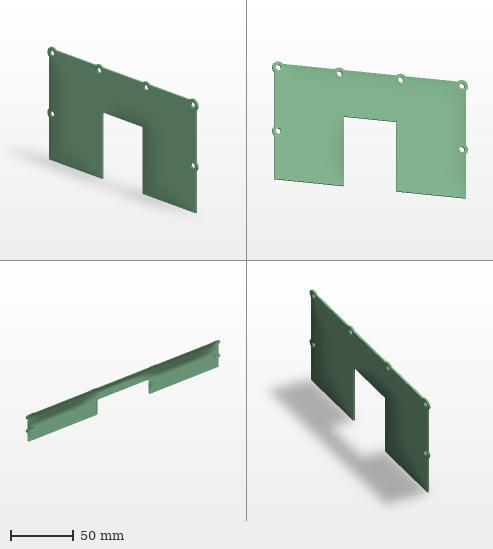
import cadquery as cq

width = 168.8
height = 98.4
thickness = 1.59

ear_radius = 5.0
ear_overhang = 1.7
hole_diameter = 4.5
ears_per_row = 4
ear_pitch = (width - 2 * ear_radius) / (ears_per_row - 1)

notch_width = 45.2
notch_depth = 58.0

plate_width = width - 2 * ear_overhang
plate_height = height - ear_overhang
top_row_z = height - ear_radius
side_row_z = top_row_z - ear_pitch
outer_ear_x = width / 2 - ear_radius

ear_centres = [(-outer_ear_x + i * ear_pitch, top_row_z) for i in range(ears_per_row)]
ear_centres += [(side * outer_ear_x, side_row_z) for side in (-1, 1)]


def slab(bottom_width, slab_height):
    """Full-thickness rectangular block rising from the bottom edge."""
    return (
        cq.Workplane("XZ")
        .center(0, slab_height / 2)
        .rect(bottom_width, slab_height)
        .extrude(thickness / 2, both=True)
    )


def discs(diameter):
    """Full-thickness discs at every ear centre."""
    return (
        cq.Workplane("XZ")
        .pushPoints(ear_centres)
        .circle(diameter / 2)
        .extrude(thickness / 2, both=True)
    )


plate = slab(plate_width, plate_height)
notch = slab(notch_width, notch_depth)
result = plate.union(discs(2 * ear_radius)).cut(notch).cut(discs(hole_diameter))